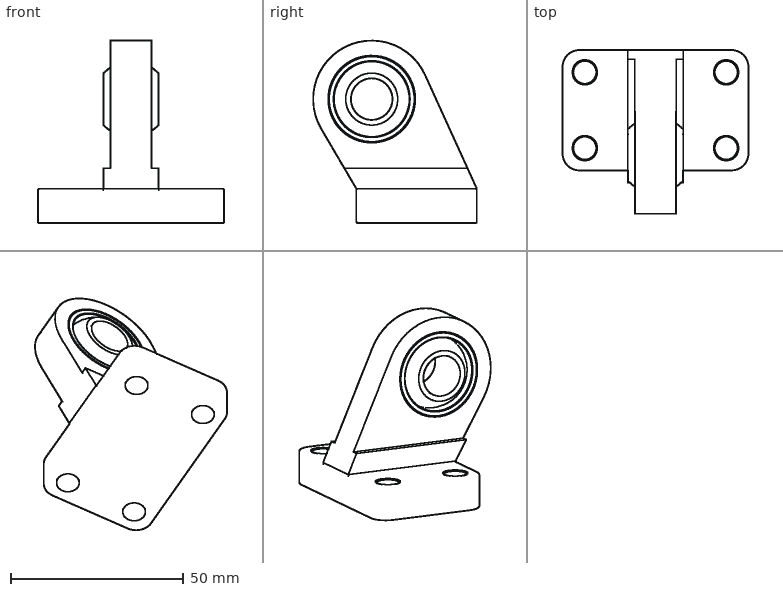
import cadquery as cq
import math

base_length = 54.0
base_width = 35.0
base_height = 10.0
corner_radius = 5.0
edge_radius = 0.5

hole_diameter = 6.6
hole_chamfer = 0.3
hole_spacing_x = 41.0
hole_spacing_y = 22.0

eye_radius = 17.0
eye_height = 35.95
eye_width = 12.0
eye_setback = 30.5
eye_y = base_width / 2 - eye_setback
foot_width = 16.0
foot_top = 16.0

race_diameter = 25.0
race_chamfer = 0.15
race_bore = 21.8
race_mouth_chamfer = 0.2
ball_diameter = 22.0
ball_width = foot_width
ball_bore = 12.0


def tangent_point(y, z, side):
    """Point where a line from (y, z) touches the eye; side is +1 for the back, -1 for the front."""
    dy = y - eye_y
    dz = z - eye_height
    angle = math.atan2(dz, dy) + side * math.acos(eye_radius / math.hypot(dy, dz))
    return (eye_y + eye_radius * math.cos(angle), eye_height + eye_radius * math.sin(angle))


def x_cylinder(diameter, width):
    """Cylinder along X, centred on the eye."""
    plane = cq.Workplane("YZ").center(eye_y, eye_height)
    return plane.circle(diameter / 2).extrude(width / 2, both=True)


def chamfered_bore(diameter, width, chamfer):
    """Cutter for a bore along X whose two mouths are chamfered."""
    cutter = x_cylinder(diameter, width)
    for side in (-1, 1):
        face = cq.Workplane("YZ", origin=(side * width / 2, eye_y, eye_height))
        cone = face.circle(diameter / 2 + chamfer).workplane(offset=-side * chamfer)
        cutter = cutter.union(cone.circle(diameter / 2).loft())
    return cutter


def make_base():
    plate = cq.Workplane("XY").box(base_length, base_width, base_height, centered=(True, True, False))
    plate = plate.edges("|Z").fillet(corner_radius)
    return plate.faces("<Z or >Z").edges().fillet(edge_radius)


def drill_mounting_holes(body):
    """Through holes, chamfered at the top."""
    bottom = cq.Workplane("XY").rarray(hole_spacing_x, hole_spacing_y, 2, 2)
    body = body.cut(bottom.circle(hole_diameter / 2).extrude(base_height))
    top = cq.Workplane("XY", origin=(0, 0, base_height)).rarray(hole_spacing_x, hole_spacing_y, 2, 2)
    countersinks = top.circle(hole_diameter / 2 + hole_chamfer).extrude(-hole_chamfer, taper=45)
    return body.cut(countersinks)


def arm_profile(width):
    """Side outline of the arm, extruded across X; its lower end squares off the base's rounded edge."""
    back = base_width / 2
    front = -base_width / 2
    bottom = base_height - edge_radius
    outline = (
        cq.Workplane("YZ")
        .moveTo(front, bottom)
        .lineTo(back, bottom)
        .lineTo(back, base_height)
        .lineTo(*tangent_point(back, base_height, 1))
        .threePointArc((eye_y, eye_height + eye_radius), tangent_point(front, base_height, -1))
        .lineTo(front, base_height)
        .close()
    )
    return outline.extrude(width / 2, both=True)


def make_housing():
    below_foot_top = cq.Workplane("XY").box(
        base_length, 2 * base_width, foot_top, centered=(True, True, False)
    )
    foot = arm_profile(foot_width).intersect(below_foot_top)
    body = drill_mounting_holes(make_base())
    body = body.union(foot).union(arm_profile(eye_width))
    return body.cut(chamfered_bore(race_diameter, eye_width, race_chamfer))


def make_bearing():
    """Race and swivel ball as one insert."""
    race = x_cylinder(race_diameter, eye_width).edges().chamfer(race_chamfer)
    race = race.cut(chamfered_bore(race_bore, eye_width, race_mouth_chamfer))
    ball = cq.Workplane("XY").sphere(ball_diameter / 2).rotate((0, 0, 0), (0, 1, 0), 90)
    ball = ball.translate((0, eye_y, eye_height))
    ball = ball.intersect(x_cylinder(race_diameter, ball_width))
    return race.union(ball).cut(x_cylinder(ball_bore, ball_width))


housing = make_housing()
bearing = make_bearing()
result = cq.Compound.makeCompound([housing.val(), bearing.val()])